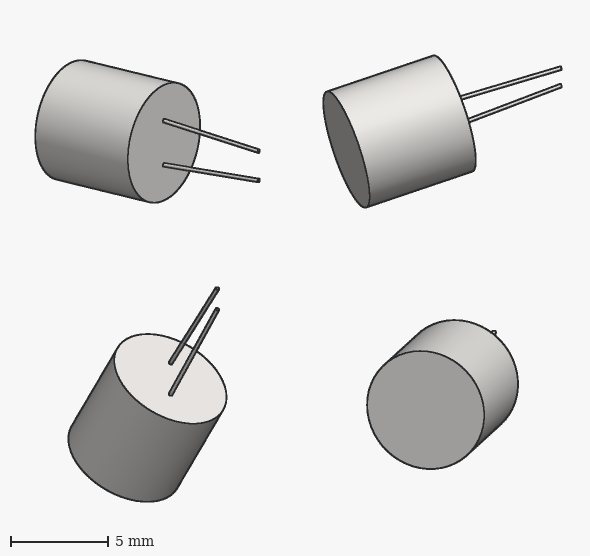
import cadquery as cq

total_length = 11.91
body_diameter = 6.3
body_length = 5.9
wire_diameter = 0.2
wire_root_offset = 1.2
wire_tip_offset = 0.8

UPPER = 1
LOWER = -1


def make_body():
    """Solid round body lying along X, with its closed end at X = 0."""
    return cq.Workplane("YZ").circle(body_diameter / 2).extrude(body_length)


def make_wire(side):
    """Straight round lead from the body's +X face, leaning towards the body axis."""
    root = cq.Vector(body_length, 0, side * wire_root_offset)
    tip = cq.Vector(total_length, 0, side * wire_tip_offset)
    root_circle = cq.Wire.makeCircle(wire_diameter / 2, root, cq.Vector(1, 0, 0))
    return cq.Solid.extrudeLinear(root_circle, [], tip - root)


body = make_body()
wires = [make_wire(side) for side in (UPPER, LOWER)]

result = cq.Compound.makeCompound([body.val(), *wires])